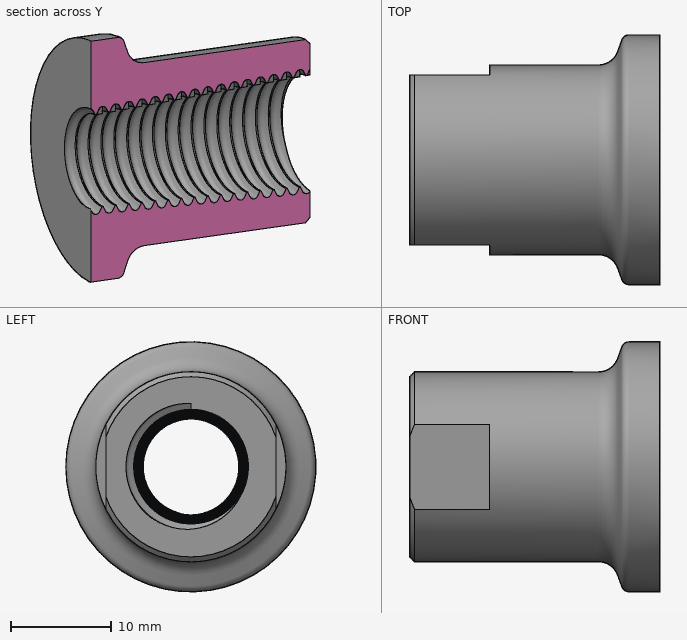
import cadquery as cq
import math

length = 25.0
body_radius = 9.5
end_chamfer = 0.5

flange_radius = 12.5
rim_width = 3.06
shoulder_angle = math.radians(20.0)
neck_fillet = 2.0
rim_fillet = 0.8

flat_width = 17.0
flat_length = 8.0

bore_radius_near = 5.75
bore_radius_far = 4.75
bore_taper = (bore_radius_near - bore_radius_far) / length

thread_pitch = 1.5
thread_depth = 0.73
flank_angle = math.radians(27.5)
root_radius = 0.46
thread_lead_in = 0.35
crest_overlap = 0.05
tangent_depth = thread_depth - root_radius * (1 - math.sin(flank_angle))


def arc_point(center, radius, angle):
    """Point on a circle in the profile plane, angle measured from +X."""
    return (center[0] + radius * math.cos(angle), center[1] + radius * math.sin(angle))


def make_body():
    """Turned outside shape: body, concave neck, sloping shoulder and rim."""
    rim_center = (length - rim_width, flange_radius - rim_fillet)
    normal_angle = math.pi - shoulder_angle
    rim_tangent = arc_point(rim_center, rim_fillet, normal_angle)
    rim_middle = arc_point(rim_center, rim_fillet, (normal_angle + math.pi / 2) / 2)

    neck_center_radius = body_radius + neck_fillet
    center_rise = neck_center_radius - rim_center[1]
    center_gap = rim_fillet + neck_fillet
    center_setback = (center_gap - center_rise * math.sin(shoulder_angle)) / math.cos(shoulder_angle)
    neck_center = (rim_center[0] - center_setback, neck_center_radius)
    neck_end_angle = -shoulder_angle
    neck_tangent = arc_point(neck_center, neck_fillet, neck_end_angle)
    neck_middle = arc_point(neck_center, neck_fillet, (neck_end_angle - math.pi / 2) / 2)

    profile = (
        cq.Workplane("XY")
        .moveTo(0, 0)
        .lineTo(0, body_radius - end_chamfer)
        .lineTo(end_chamfer, body_radius)
        .lineTo(neck_center[0], body_radius)
        .threePointArc(neck_middle, neck_tangent)
        .lineTo(*rim_tangent)
        .threePointArc(rim_middle, (rim_center[0], flange_radius))
        .lineTo(length, flange_radius)
        .lineTo(length, 0)
        .close()
    )
    return profile.revolve(360, (0, 0, 0), (1, 0, 0))


def make_flat_cutter(side):
    """Block that cuts one wrench flat on the +Y (side = 1) or -Y (side = -1) side."""
    depth = flange_radius - flat_width / 2
    return cq.Workplane("XY").box(flat_length, depth, 2 * flange_radius).translate(
        (flat_length / 2, side * (flat_width + depth) / 2, 0)
    )


def make_bore():
    """Tapered through bore at the thread crests."""
    return (
        cq.Workplane("XY")
        .polyline([(0, 0), (0, bore_radius_near), (length, bore_radius_far), (length, 0)])
        .close()
        .revolve(360, (0, 0, 0), (1, 0, 0))
    )


def groove_half_width(depth):
    """Half width of the groove between its straight flanks, at a depth below the thread crest."""
    return root_radius * math.cos(flank_angle) + (tangent_depth - depth) * math.tan(flank_angle)


def make_thread_turn(turn):
    """One full turn of the groove; turn 0 starts at +Z, just outside the wrench end."""
    start_x = turn * thread_pitch - thread_lead_in
    crest_radius = bore_radius_near - bore_taper * start_x
    bottom_radius = crest_radius + thread_depth
    tangent_radius = crest_radius + tangent_depth
    tangent_half_width = groove_half_width(tangent_depth)

    mouth_radius = crest_radius - crest_overlap
    mouth_half_width = groove_half_width(-crest_overlap)

    section = (
        cq.Workplane("XZ")
        .moveTo(mouth_radius, -mouth_half_width)
        .lineTo(tangent_radius, -tangent_half_width)
        .threePointArc((bottom_radius, 0), (tangent_radius, tangent_half_width))
        .lineTo(mouth_radius, mouth_half_width)
        .close()
    )
    cone_angle = -math.degrees(math.atan(bore_taper))
    helix = cq.Wire.makeHelix(thread_pitch, thread_pitch, crest_radius, angle=cone_angle, lefthand=True)
    groove = section.sweep(cq.Workplane(helix), isFrenet=True)
    return (
        groove.rotate((0, 0, 0), (0, 1, 0), 90)
        .rotate((0, 0, 0), (1, 0, 0), 180)
        .translate((start_x, 0, 0))
    )


def cut_thread(part):
    """Cut enough turns for the groove to run out completely through the flange end."""
    run = length + thread_lead_in + groove_half_width(0)
    for turn in range(math.ceil(run / thread_pitch)):
        part = part.cut(make_thread_turn(turn))
    return part


result = make_body()
for side in (1, -1):
    result = result.cut(make_flat_cutter(side))
result = result.cut(make_bore())
result = cut_thread(result)